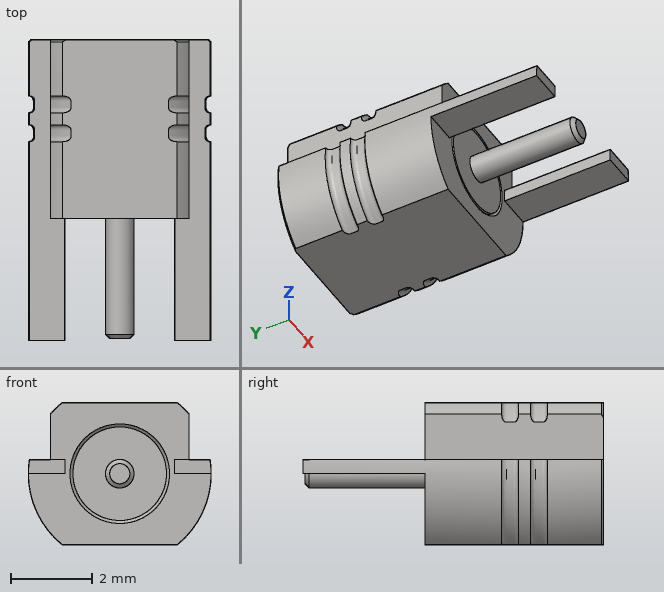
import cadquery as cq

total_length = 7.4
body_length = 4.395
body_radius = 2.25
body_height = 3.5
upper_width = 3.41
rear_chamfer = 0.06

groove_starts = (1.385, 2.095)
groove_width = 0.415
groove_depth = 0.125
groove_corner_radius = 0.12

leg_top = 0.35
leg_bottom = 0.0
leg_gap = 2.69

bevel_diameter = 2.45
insulator_diameter = 2.3
bevel_depth = (bevel_diameter - insulator_diameter) / 2

pin_diameter = 0.7
pin_tip_y = -7.35
pin_chamfer = 0.1


def y_cylinder(radius, start_y, end_y):
    """Cylinder on the Y axis, running from start_y towards -Y to end_y."""
    return cq.Workplane("XZ", origin=(0, start_y, 0)).circle(radius).extrude(start_y - end_y)


def groove_cutter(start):
    """Ring that turns one groove into the barrel."""
    cutter_radius = body_radius + groove_width
    floor_radius = body_radius - groove_depth
    ring = y_cylinder(cutter_radius, -start, -start - groove_width)
    core = y_cylinder(floor_radius, -start, -start - groove_width)
    return ring.cut(core).edges(cq.selectors.RadiusNthSelector(0)).fillet(groove_corner_radius)


def make_barrel():
    barrel = y_cylinder(body_radius, 0, -body_length).faces(">Y").chamfer(rear_chamfer)
    for start in groove_starts:
        barrel = barrel.cut(groove_cutter(start))
    return barrel


def make_envelope():
    """Flat-topped outline: full width below the shoulders, narrower above them."""
    lower_height = leg_top + body_height / 2
    lower = cq.Workplane("XY").box(2 * body_radius, body_length, lower_height)
    lower = lower.translate((0, -body_length / 2, leg_top - lower_height / 2))
    upper = cq.Workplane("XY").box(upper_width, body_length, body_height)
    upper = upper.translate((0, -body_length / 2, 0))
    return lower.union(upper)


def make_legs():
    """Pair of bars whose outer sides follow the barrel."""
    leg_length = total_length - body_length
    leg_height = leg_top - leg_bottom
    centre = (0, -body_length - leg_length / 2, (leg_top + leg_bottom) / 2)
    bar = cq.Workplane("XY").box(2 * body_radius, leg_length, leg_height).translate(centre)
    gap = cq.Workplane("XY").box(leg_gap, leg_length, leg_height).translate(centre)
    return bar.cut(gap).intersect(y_cylinder(body_radius, -body_length, -total_length))


def bevel_cutter():
    """Ring of triangular section between the bevelled bore and the insulator."""
    cone = (
        cq.Workplane("XZ", origin=(0, -body_length, 0))
        .circle(bevel_diameter / 2)
        .workplane(offset=-bevel_depth)
        .circle(insulator_diameter / 2)
        .loft(ruled=True)
    )
    return cone.cut(y_cylinder(insulator_diameter / 2, -body_length + bevel_depth, -body_length))


def make_pin():
    pin = y_cylinder(pin_diameter / 2, -body_length, pin_tip_y)
    return pin.faces("<Y").chamfer(pin_chamfer)


body = make_barrel().intersect(make_envelope())
result = body.cut(bevel_cutter()).union(make_legs()).union(make_pin())